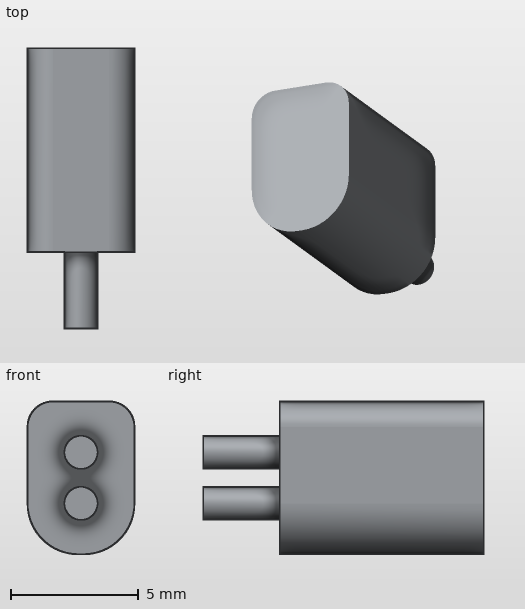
import cadquery as cq

body_width = 4.2
body_height = 6.0
body_length = 8.0
top_corner_radius = 1.0
bottom_corner_radius = 2.0

pin_diameter = 1.3
pin_length = 3.0
pin_spacing = 2.0


def make_body():
    """Block centred on X and Z, with its four lengthwise edges rounded."""
    block = cq.Workplane("XY").box(
        body_width, body_length, body_height, centered=(True, False, True)
    )
    rounded_top = block.faces(">Z").edges("|Y").fillet(top_corner_radius)
    return rounded_top.faces("<Z").edges("|Y").fillet(bottom_corner_radius)


def make_pins():
    """Round pins running from the front face toward -Y."""
    pin_centres = [(0, pin_spacing / 2), (0, -pin_spacing / 2)]
    return (
        cq.Workplane("XZ")
        .pushPoints(pin_centres)
        .circle(pin_diameter / 2)
        .extrude(pin_length)
    )


result = make_body().union(make_pins())